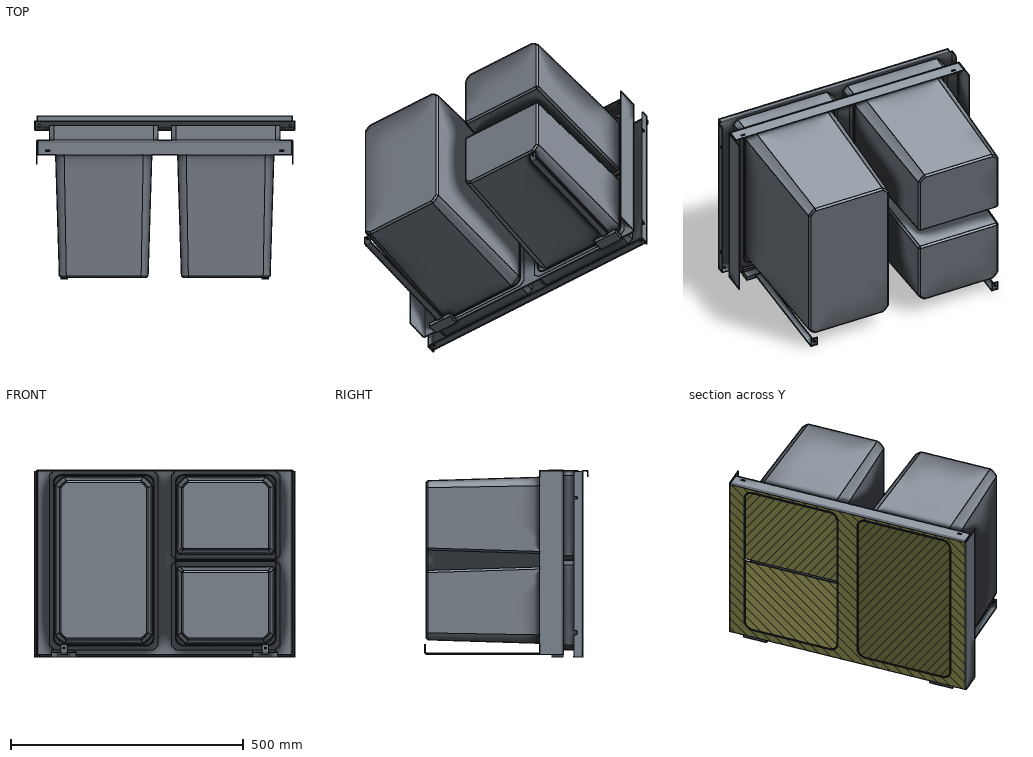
import cadquery as cq
import math

WIDTH = 560.0
SHEET = 1.0

PANEL_HEIGHT = 400.5
PANEL_BEND = 1.5
PANEL_BACK_Y = 340.0
PANEL_EDGE_Y = 320.5
PANEL_SIDE_HEIGHT = 399.0
PANEL_CORNER = 5.5
HOOK_EDGE_Y = 350.5
HOOK_WIDTH = 547.5
HOOK_DROP = 12.5
SHELF_WIDTH = 555.5
SHELF_Z = 4.0
SHELF_EDGE_Y = 326.5
PANEL_HOLE_X = 270.0
PANEL_HOLE_Y = 329.0
PANEL_HOLE_DIAMETER = 4.5
NOTCH_DEPTH = 8.0
NOTCHES = ((52.5, 9.5), (342.0, 5.5))

FRAME_WIDTH = 551.0
FRAME_BOTTOM = 5.5
FRAME_TOP = 402.0
FRAME_SIDE_TOP = 400.5
FRAME_BEND = 4.0
FRAME_BACK_Y = 298.5
FRAME_TOP_WIDTH = 545.5
FRAME_TOP_EDGE_Y = 267.0
FRAME_SIDE_EDGE_Y = 247.0
WINDOW_INSET = 8.5
WINDOW_RADIUS = 19.0
SLOT_X = 251.5
SLOT_Y = 276.0
SLOT_LENGTH = 8.5
SLOT_WIDTH = 2.0

BIN_X = 131.0
RIM_WIDTH = 233.5
RIM_BOTTOM = 15.5
RIM_TOP = 400.5
RIM_FRONT_Y = 330.0
RIM_CHAMFER = 10.0
RIM_GAP = 1.0
RIM_OVERHANG = 12.5
NECK_CLEARANCE = 1.5
BIN_END_Y = 3.5
DRAFT = 9.0
MOUTH_CORNER = 19.0
BASE_CORNER = 15.0
CORNER_BOW = 0.08
INNER_CORNER = 4.5
BASE_BEVEL = 4.0

ARM_X = 216.0
ARM_WIDTH = 14.0
ARM_THICKNESS = 2.0
ARM_BEND = 4.5
ARM_BOTTOM = 6.0
TAB_TOP = 27.5
TAB_HOLE_DIAMETER = 4.5
TAB_HOLE_Z = 19.5
FOOT_LEFT = 27.5
FOOT_RIGHT = 26.5
FOOT_FRONT_Y = 273.0
FOOT_HEIGHT = 9.5
FOOT_LIP_Y = 291.0
FOOT_LIP_TOP = 15.5
FOOT_SLANT = 9.0

SIDES = (-1, 1)


def turn_angle(before, corner, after):
    """Change of heading at a corner, positive to the left."""
    heading_in = math.atan2(corner[1] - before[1], corner[0] - before[0])
    heading_out = math.atan2(after[1] - corner[1], after[0] - corner[0])
    return math.remainder(heading_out - heading_in, math.tau)


def blunt_outline(workplane, points, legs, bows):
    """Closed outline through the points, each corner replaced by an arc between its two legs.

    The bow is how far the arc bulges beyond the straight line across the corner; a leg of 0 keeps
    the corner sharp.
    """
    path = None
    for i, (corner, leg, bow) in enumerate(zip(points, legs, bows)):
        here = cq.Vector(*corner)
        to_before = (cq.Vector(*points[i - 1]) - here).normalized()
        to_after = (cq.Vector(*points[(i + 1) % len(points)]) - here).normalized()
        start = here + to_before * leg
        path = path.lineTo(start.x, start.y) if path else workplane.moveTo(start.x, start.y)
        if leg:
            end = here + to_after * leg
            crown = (start + end) * 0.5 - (to_before + to_after).normalized() * bow
            path = path.threePointArc((crown.x, crown.y), (end.x, end.y))
    return path.close()


def rounded_outline(workplane, points, radii):
    """Closed outline through the points, each corner rounded by its own radius (0 keeps it sharp)."""
    legs = []
    bows = []
    for i, (corner, radius) in enumerate(zip(points, radii)):
        half_turn = abs(turn_angle(points[i - 1], corner, points[(i + 1) % len(points)])) / 2
        legs.append(radius * math.tan(half_turn))
        bows.append(radius * (1 - math.cos(half_turn)))
    return blunt_outline(workplane, points, legs, bows)


def folded_sheet(workplane, points, thickness, bend, length, both=False):
    """Sheet on the left of the path, with rounded bends, extruded over the length."""
    last = len(points) - 1
    left_side = []
    right_radii = []
    left_radii = []
    for i, (x, y) in enumerate(points):
        turn = 0 if i in (0, last) else turn_angle(points[i - 1], points[i], points[i + 1])
        start, end = points[max(i - 1, 0)], points[max(i, 1)]
        heading = math.atan2(end[1] - start[1], end[0] - start[0]) + turn / 2
        reach = thickness / math.cos(turn / 2)
        left_side.append((x - reach * math.sin(heading), y + reach * math.cos(heading)))
        outer, inner = (bend, bend - thickness) if turn else (0, 0)
        right_radii.append(outer if turn > 0 else inner)
        left_radii.append(inner if turn > 0 else outer)
    section = rounded_outline(workplane, points + left_side[::-1], right_radii + left_radii[::-1])
    return section.extrude(length, both=both)


def box(x_range, y_range, z_range):
    """Box between the given limits."""
    size = [high - low for low, high in (x_range, y_range, z_range)]
    return cq.Workplane().box(*size, centered=False).translate((x_range[0], y_range[0], z_range[0]))


def upright_plane(y):
    """Plane facing -Y at the given y, drawn on in X and Z."""
    return cq.Workplane("XZ", origin=(0, y, 0))


def rectangle(left, right, bottom, top):
    """Corners of a rectangle, anticlockwise from the lower left."""
    return [(left, bottom), (right, bottom), (right, top), (left, top)]


def flanged_web(width, edge_y, back_y, bend, height):
    """Upright sheet web with a flange toward -Y along each side, standing on z = 0."""
    half = width / 2
    path = [(half, edge_y), (half, back_y), (-half, back_y), (-half, edge_y)]
    return folded_sheet(cq.Workplane("XY"), path, SHEET, bend, height)


def make_panel():
    """Sheet panel with a lip along the top, a sloping flange along the bottom and flanged sides."""
    half = WIDTH / 2
    panel = flanged_web(WIDTH, PANEL_EDGE_Y, PANEL_BACK_Y, PANEL_BEND, PANEL_SIDE_HEIGHT)
    panel = panel.edges("|X and <Y and >Z").fillet(PANEL_CORNER)

    bend_y = (PANEL_BACK_Y - PANEL_BEND, PANEL_BACK_Y)
    shelf_half = SHELF_WIDTH / 2
    hook_half = HOOK_WIDTH / 2
    panel = panel.cut(box((-shelf_half, shelf_half), bend_y, (0, SHELF_Z + PANEL_BEND)))
    panel = panel.cut(box((-hook_half, hook_half), bend_y, (PANEL_HEIGHT - 2 * PANEL_BEND, PANEL_HEIGHT)))
    shelf = [
        (PANEL_EDGE_Y, 0),
        (SHELF_EDGE_Y, SHELF_Z),
        (PANEL_BACK_Y, SHELF_Z),
        (PANEL_BACK_Y, PANEL_HEIGHT / 2),
    ]
    hook = [
        (PANEL_BACK_Y, PANEL_HEIGHT / 2),
        (PANEL_BACK_Y, PANEL_HEIGHT - SHEET),
        (HOOK_EDGE_Y - SHEET, PANEL_HEIGHT - SHEET),
        (HOOK_EDGE_Y - SHEET, PANEL_HEIGHT - HOOK_DROP),
    ]
    for fold, fold_half in ((shelf, shelf_half), (hook, hook_half)):
        sheet = folded_sheet(cq.Workplane("YZ"), fold, SHEET, PANEL_BEND, fold_half, both=True)
        panel = panel.union(sheet)

    holes = cq.Workplane("XY").pushPoints([(side * PANEL_HOLE_X, PANEL_HOLE_Y) for side in SIDES])
    panel = panel.cut(holes.circle(PANEL_HOLE_DIAMETER / 2).extrude(SHELF_Z + PANEL_BEND))

    for height, width in NOTCHES:
        notch = cq.Workplane("YZ").center(PANEL_EDGE_Y, height)
        panel = panel.cut(notch.slot2D(2 * NOTCH_DEPTH, width).extrude(half, both=True))
    return panel


def make_frame():
    """Sheet frame with flanged sides and top, and one window for each column of bins."""
    side_height = FRAME_SIDE_TOP - FRAME_BOTTOM
    frame = flanged_web(FRAME_WIDTH, FRAME_SIDE_EDGE_Y, FRAME_BACK_Y, FRAME_BEND, side_height)
    frame = frame.translate((0, 0, FRAME_BOTTOM))
    half = FRAME_TOP_WIDTH / 2
    bend_y = (FRAME_BACK_Y - FRAME_BEND, FRAME_BACK_Y)
    frame = frame.cut(box((-half, half), bend_y, (FRAME_TOP - FRAME_BEND, FRAME_TOP)))
    section = [(FRAME_BACK_Y, FRAME_BOTTOM), (FRAME_BACK_Y, FRAME_TOP), (FRAME_TOP_EDGE_Y, FRAME_TOP)]
    frame = frame.union(folded_sheet(cq.Workplane("YZ"), section, SHEET, FRAME_BEND, half, both=True))

    half_window = RIM_WIDTH / 2 - WINDOW_INSET
    for side in SIDES:
        corners = rectangle(
            side * BIN_X - half_window,
            side * BIN_X + half_window,
            RIM_BOTTOM + WINDOW_INSET,
            RIM_TOP - WINDOW_INSET,
        )
        window = rounded_outline(upright_plane(FRAME_BACK_Y), corners, [WINDOW_RADIUS] * 4)
        frame = frame.cut(window.extrude(FRAME_BEND))

    slots = cq.Workplane("XY").workplane(offset=FRAME_TOP - FRAME_BEND)
    slots = slots.pushPoints([(side * SLOT_X, SLOT_Y) for side in SIDES])
    return frame.cut(slots.rect(SLOT_LENGTH, SLOT_WIDTH).extrude(FRAME_BEND))


def bin_section(y, limits, low_leg, high_leg):
    """Outline of a bin at y with blunt, slightly bowed corners of the given legs."""
    legs = [low_leg, low_leg, high_leg, high_leg]
    bows = [CORNER_BOW * leg for leg in legs]
    return blunt_outline(upright_plane(y), rectangle(*limits), legs, bows).val()


def make_bin(center_x, bottom, top, inner_end=None):
    """Tapered bin under a chamfered rim that spans bottom to top.

    inner_end is "bottom" or "top" where the bin faces its neighbour, or None.
    """
    left = center_x - RIM_WIDTH / 2
    right = center_x + RIM_WIDTH / 2

    def inset_limits(inset):
        return left + inset, right - inset, bottom + inset, top - inset

    rim = upright_plane(RIM_FRONT_Y).polyline(rectangle(left, right, bottom, top)).close()
    rim = rim.extrude(RIM_FRONT_Y - FRAME_BACK_Y).edges("|Y").chamfer(RIM_CHAMFER)

    neck_inset = WINDOW_INSET + NECK_CLEARANCE
    neck_bottom = bottom + (NECK_CLEARANCE if inner_end == "bottom" else neck_inset)
    neck_top = top - (NECK_CLEARANCE if inner_end == "top" else neck_inset)
    neck_radius = WINDOW_RADIUS - NECK_CLEARANCE
    low = 0 if inner_end == "bottom" else neck_radius
    high = 0 if inner_end == "top" else neck_radius
    neck_corners = rectangle(left + neck_inset, right - neck_inset, neck_bottom, neck_top)
    neck = rounded_outline(upright_plane(FRAME_BACK_Y), neck_corners, [low, low, high, high])
    neck = neck.extrude(SHEET)

    def section(y, inset, outer_leg, inner_leg):
        low_leg = inner_leg if inner_end == "bottom" else outer_leg
        high_leg = inner_leg if inner_end == "top" else outer_leg
        return bin_section(y, inset_limits(inset), low_leg, high_leg)

    inset = RIM_OVERHANG + DRAFT
    bevel = BASE_BEVEL
    mouth = section(FRAME_BACK_Y, RIM_OVERHANG, MOUTH_CORNER, INNER_CORNER)
    base = section(BIN_END_Y + bevel, inset, BASE_CORNER, INNER_CORNER)
    end = section(BIN_END_Y, inset + bevel, BASE_CORNER - bevel, INNER_CORNER - bevel)
    body = cq.Solid.makeLoft([mouth, base, end], True)
    return rim.union(neck).union(cq.Workplane(body))


def make_arm(center_x):
    """Flat arm that runs from the foot past the bins and ends in an upright tab with a hole."""
    path = [(0, TAB_TOP), (0, ARM_BOTTOM), (FOOT_FRONT_Y, ARM_BOTTOM)]
    arm = folded_sheet(cq.Workplane("YZ"), path, ARM_THICKNESS, ARM_BEND, ARM_WIDTH / 2, both=True)
    hole = upright_plane(ARM_THICKNESS).center(0, TAB_HOLE_Z).circle(TAB_HOLE_DIAMETER / 2)
    hole = hole.extrude(ARM_THICKNESS)
    return arm.cut(hole).translate((center_x, 0, 0))


def make_foot(arm_x):
    """Foot in front of the frame: a block with a raised lip along the frame and a slanted +X end."""
    lip = [
        (-FOOT_LEFT, 0),
        (FOOT_RIGHT, 0),
        (FOOT_RIGHT, FOOT_HEIGHT),
        (FOOT_RIGHT - FOOT_SLANT, FOOT_LIP_TOP),
        (-FOOT_LEFT, FOOT_LIP_TOP),
    ]
    frame_face_y = FRAME_BACK_Y - SHEET
    foot = upright_plane(frame_face_y).polyline(lip).close().extrude(frame_face_y - FOOT_LIP_Y)
    foot = foot.union(box((-FOOT_LEFT, FOOT_RIGHT), (FOOT_FRONT_Y, FOOT_LIP_Y), (0, FOOT_HEIGHT)))
    return foot.translate((arm_x, 0, 0))


RIM_MIDDLE = (RIM_BOTTOM + RIM_TOP) / 2

panel = make_panel()
frame = make_frame()
large_bin = make_bin(-BIN_X, RIM_BOTTOM, RIM_TOP)
lower_bin = make_bin(BIN_X, RIM_BOTTOM, RIM_MIDDLE - RIM_GAP / 2, inner_end="top")
upper_bin = make_bin(BIN_X, RIM_MIDDLE + RIM_GAP / 2, RIM_TOP, inner_end="bottom")
arms = [make_arm(side * ARM_X) for side in SIDES]
feet = [make_foot(side * ARM_X) for side in SIDES]

bodies = [panel, frame, large_bin, lower_bin, upper_bin, *arms, *feet]
result = cq.Compound.makeCompound([body.solids().val() for body in bodies])